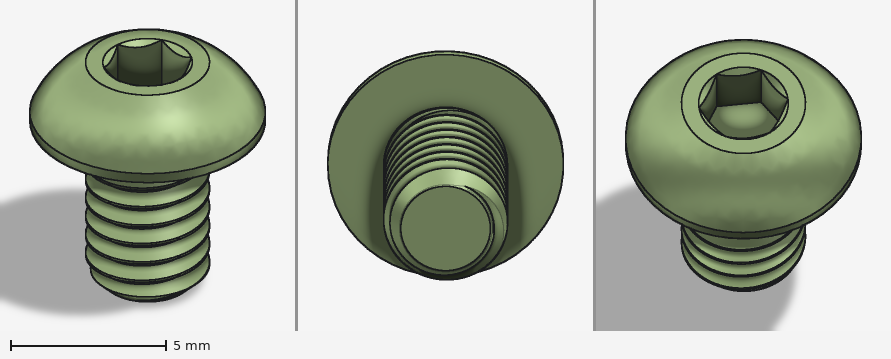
import cadquery as cq
import math


head_diameter = 7.6
head_height = 2.2
rim_height = 0.34
crown_diameter = 4.0
dome_bulge = 0.22

hex_across_flats = 2.5
hex_depth = 1.76
hex_corner_diameter = hex_across_flats / math.cos(math.radians(30))
hex_corner_radius = hex_corner_diameter / 2

thread_diameter = 4.0
core_diameter = 3.09
shank_length = 6.0
pitch = 0.7
crest_height_at_x = -0.53
half_thread_angle = math.radians(30)
runout_angle = math.radians(30)
crest_width = pitch / 8
tip_diameter = 2.89

core_overlap = 0.05
head_overlap = 0.1
crest_clearance = 0.1
core_seam_angle = 180

head_radius = head_diameter / 2
crown_radius = crown_diameter / 2
thread_radius = thread_diameter / 2
core_radius = core_diameter / 2
tip_radius = tip_diameter / 2
thread_depth = thread_radius - core_radius


def revolve_about_z(outline):
    """Full revolution of a closed outline drawn in the XZ plane."""
    return outline.revolve(360, (0, 0, 0), (0, 1, 0))


def make_head():
    """Cylindrical rim under a domed side that ends at a flat crown."""
    chord_r = crown_radius - head_radius
    chord_z = head_height - rim_height
    chord = math.hypot(chord_r, chord_z)
    mid_r = (head_radius + crown_radius) / 2 + dome_bulge * chord_z / chord
    mid_z = (rim_height + head_height) / 2 - dome_bulge * chord_r / chord
    outline = (
        cq.Workplane("XZ")
        .lineTo(head_radius, 0)
        .lineTo(head_radius, rim_height)
        .threePointArc((mid_r, mid_z), (crown_radius, head_height))
        .lineTo(0, head_height)
        .close()
    )
    return revolve_about_z(outline)


def make_socket():
    """Hexagonal pocket, corners on the Y axis, with a 45 degree conical lead-in."""
    hexagon = (
        cq.Workplane("XY")
        .workplane(offset=head_height - hex_depth)
        .transformed(rotate=(0, 0, 90))
        .polygon(6, hex_corner_diameter)
        .extrude(hex_depth)
    )
    lead_in_outline = (
        cq.Workplane("XZ", origin=(0, 0, head_height))
        .lineTo(hex_corner_radius, 0)
        .lineTo(0, -hex_corner_radius)
        .close()
    )
    return hexagon.union(revolve_about_z(lead_in_outline))


def make_core():
    """Thread core with a chamfered tip and a conical runout below the head."""
    runout_height = thread_depth / math.tan(runout_angle)
    outline = (
        cq.Workplane("XZ")
        .moveTo(0, head_overlap)
        .lineTo(thread_radius, head_overlap)
        .lineTo(thread_radius, 0)
        .lineTo(core_radius, -runout_height)
        .lineTo(core_radius, -shank_length + core_radius - tip_radius)
        .lineTo(tip_radius, -shank_length)
        .lineTo(0, -shank_length)
        .close()
    )
    return revolve_about_z(outline).rotate((0, 0, 0), (0, 0, 1), core_seam_angle)


def make_shank_envelope():
    """Space that bounds the thread: slightly wider than its crests, with a 45 degree tip chamfer."""
    outer_radius = thread_radius + crest_clearance
    outline = (
        cq.Workplane("XZ")
        .moveTo(0, head_overlap)
        .lineTo(outer_radius, head_overlap)
        .lineTo(outer_radius, -shank_length + outer_radius - tip_radius)
        .lineTo(tip_radius, -shank_length)
        .lineTo(0, -shank_length)
        .close()
    )
    return revolve_about_z(outline)


def make_thread():
    """Right-hand helical ridge, overlong at both ends and trimmed to the shank."""
    half_crest = crest_width / 2
    base_radius = core_radius - core_overlap
    half_base = half_crest + (thread_depth + core_overlap) * math.tan(half_thread_angle)
    turns_below = math.ceil(shank_length / pitch)
    turns_above = 2
    start_z = crest_height_at_x - turns_below * pitch
    helix_height = (turns_below + turns_above) * pitch
    helix = cq.Wire.makeHelix(pitch, helix_height, core_radius, cq.Vector(0, 0, start_z))
    ridge = (
        cq.Workplane("XZ", origin=(0, 0, start_z))
        .moveTo(base_radius, -half_base)
        .lineTo(thread_radius, -half_crest)
        .lineTo(thread_radius, half_crest)
        .lineTo(base_radius, half_base)
        .close()
        .sweep(cq.Workplane(helix), isFrenet=True)
    )
    return ridge.intersect(make_shank_envelope())


shank = make_thread().union(make_core())
result = make_head().cut(make_socket()).union(shank).solids()